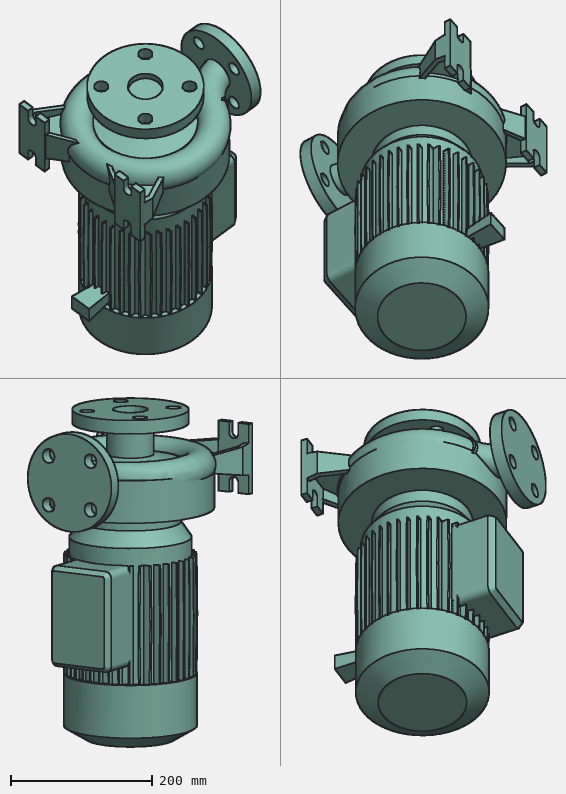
import cadquery as cq
import math


OVERALL_WIDTH = 242.0

COWL_CONE_TOP = 19.0
COWL_TOP = 95.0
FIN_TOP = 266.5
BODY_TOP = 291.0
NECK_BOTTOM = 313.5
CASING_BOTTOM = 334.0
VOLUTE_Z = 395.0
TOTAL_HEIGHT = 475.0

COWL_R = 94.5
COWL_BASE_R = 62.5
BODY_R = 87.0
NECK_R = 71.5
FIN_R = 95.0
FIN_END_R = 94.0
FIN_THICKNESS = 2.0
FIN_PITCH_R = 93.5
FIN_PITCH_ANGLE = 9.0
FINS_PER_HALF_SIDE = 5

CASING_R = 119.0
TUBE_R = 23.8
VOLUTE_R = OVERALL_WIDTH / 2 - TUBE_R
DISH_R = 74.0
DISH_EDGE_Z = 402.0
DISH_TOP_Z = 411.0
SPIRAL_R = 92.5
SPIRAL_END_X = 54.5
SPIRAL_END_TUBE_R = 19.0

PIPE_R = 33.2
SUCTION_FLANGE_R = 82.5
SUCTION_FLANGE_THICKNESS = 19.5
SUCTION_BOLT_OFFSET = 44.0
SUCTION_BORE_R = 24.5
SUCTION_BORE_DEPTH = 10.0
OUTLET_FLANGE_R = 70.5
OUTLET_FLANGE_THICKNESS = 18.5
OUTLET_FACE_Y = 160.5
OUTLET_BOLT_OFFSET = 35.0
BOLT_HOLE_R = 10.0

FOOT_FACE_Y = -131.5
FOOT_THICKNESS = 9.5
FOOT_OUTER_X = OVERALL_WIDTH / 2
FOOT_WIDTH = 51.0
FOOT_HEIGHT = 101.0
SLOT_WIDTH = 15.0
SLOT_DEPTH = 23.0
WEB_THICKNESS = 7.5
INNER_WEB_OVERLAP = 7.5
WEB_BEND_Y = -106.0
WEB_HALF_HEIGHT = 23.5
WEB_TIP_Y = -63.0
WEB_TIP_HALF_HEIGHT = 13.5
FOOT_FLOOR_THICKNESS = 7.5
OUTER_WEB_ROOT = [(96.0, -56.0), (89.5, -59.0)]
INNER_WEB_ROOT = [(26.5, -98.0), (21.5, -101.5)]

BOX_HALF_WIDTH = 50.0
BOX_BOTTOM = 121.0
BOX_FACE_Y = 137.8
BOX_CORNER_R = 10.0
BOX_BEVEL_DEPTH = 9.0
BOX_BEVEL_WIDTH = 6.0

BLOCK_FACE_Y = -130.0
BLOCK_Z = 111.5
BLOCK_WIDTH = 34.5
BLOCK_HEIGHT = 25.0
BLOCK_ROOT_Y = -82.0
BLOCK_ROOT_WIDTH = 26.5
BLOCK_ROOT_HEIGHT = 18.0


def revolved(profile):
    """Solid of revolution about Z from (radius, height) points; the axis closes the outline."""
    outline = [(0, profile[0][1])] + profile + [(0, profile[-1][1])]
    return cq.Workplane("XZ").polyline(outline).close().revolve(360, (0, 0, 0), (0, 1, 0))


def motor_and_casing():
    return revolved([
        (COWL_BASE_R, 0),
        (COWL_R, COWL_CONE_TOP),
        (COWL_R, COWL_TOP),
        (BODY_R, COWL_TOP),
        (BODY_R, BODY_TOP),
        (NECK_R, NECK_BOTTOM),
        (NECK_R, CASING_BOTTOM),
        (CASING_R, CASING_BOTTOM),
        (CASING_R, VOLUTE_Z),
        (DISH_R, VOLUTE_Z),
        (DISH_R, DISH_EDGE_Z),
        (PIPE_R, DISH_TOP_Z),
        (PIPE_R, TOTAL_HEIGHT - SUCTION_FLANGE_THICKNESS),
        (SUCTION_FLANGE_R, TOTAL_HEIGHT - SUCTION_FLANGE_THICKNESS),
        (SUCTION_FLANGE_R, TOTAL_HEIGHT),
    ])


def cooling_fins():
    """Thin fins along X and along Y, trimmed to a slightly barrelled envelope."""
    height = FIN_TOP - COWL_TOP
    mid_z = COWL_TOP + height / 2
    along_x = cq.Workplane("XY")
    along_y = cq.Workplane("XY")
    for i in range(FINS_PER_HALF_SIDE):
        offset = FIN_PITCH_R * math.sin(math.radians(FIN_PITCH_ANGLE * (i + 0.5)))
        for side in (-1, 1):
            plate = cq.Workplane("XY").box(2 * FIN_R, FIN_THICKNESS, height)
            plate = plate.translate((0, side * offset, mid_z))
            along_x = along_x.add(plate)
            along_y = along_y.add(plate.rotate((0, 0, 0), (0, 0, 1), 90))
    envelope = (
        cq.Workplane("XZ")
        .moveTo(0, COWL_TOP)
        .lineTo(FIN_END_R, COWL_TOP)
        .threePointArc((FIN_R, mid_z), (FIN_END_R, FIN_TOP))
        .lineTo(0, FIN_TOP)
        .close()
        .revolve(360, (0, 0, 0), (0, 1, 0))
    )
    return along_x.combine().union(along_y.combine()).intersect(envelope)


def tube(path, start, direction):
    """Round tube swept along a plane path that leaves start in the given direction."""
    return cq.Workplane(cq.Plane(start, (0, 0, -1), direction)).circle(TUBE_R).sweep(path)


def volute():
    """Scroll around the casing: main ring, outlet bend and the narrowing inner spiral."""
    bend_r = (OUTLET_FACE_Y**2 - VOLUTE_R**2) / (2 * VOLUTE_R)
    joint = math.acos(bend_r / (VOLUTE_R + bend_r))
    joint_point = (VOLUTE_R * math.cos(joint), VOLUTE_R * math.sin(joint))
    bend_middle = (
        bend_r - bend_r * math.cos(joint / 2),
        OUTLET_FACE_Y - bend_r * math.sin(joint / 2),
    )
    level = cq.Workplane("XY", origin=(0, 0, VOLUTE_Z))
    outlet_path = level.moveTo(0, OUTLET_FACE_Y).threePointArc(bend_middle, joint_point)
    outlet = tube(outlet_path, (0, OUTLET_FACE_Y, VOLUTE_Z), (0, -1, 0))

    ring_path = level.moveTo(-VOLUTE_R, 0).threePointArc((0, -VOLUTE_R), joint_point)
    ring = tube(ring_path, (-VOLUTE_R, 0, VOLUTE_Z), (0, -1, 0))

    spiral_path = (
        level.moveTo(-VOLUTE_R, 0)
        .radiusArc((SPIRAL_R - VOLUTE_R, SPIRAL_R), SPIRAL_R)
        .lineTo(SPIRAL_END_X, SPIRAL_R)
    )
    spiral_end = cq.Plane((SPIRAL_END_X, SPIRAL_R, VOLUTE_Z), (0, 0, -1), (1, 0, 0))
    spiral_start = cq.Plane((-VOLUTE_R, 0, VOLUTE_Z), (0, 0, -1), (0, 1, 0))
    spiral = (
        cq.Workplane(spiral_start)
        .circle(TUBE_R)
        .copyWorkplane(cq.Workplane(spiral_end))
        .circle(SPIRAL_END_TUBE_R)
        .sweep(spiral_path, multisection=True)
    )
    return ring.union(outlet).union(spiral)


def bolt_positions(offset):
    return [(x, y) for x in (-offset, offset) for y in (-offset, offset)]


def outlet_flange():
    return (
        cq.Workplane("XZ", origin=(0, OUTLET_FACE_Y, VOLUTE_Z))
        .circle(OUTLET_FLANGE_R)
        .pushPoints(bolt_positions(OUTLET_BOLT_OFFSET))
        .circle(BOLT_HOLE_R)
        .extrude(OUTLET_FLANGE_THICKNESS)
    )


def suction_openings():
    """Bolt holes through the suction flange and the shallow bore in its face."""
    top = cq.Workplane("XY", origin=(0, 0, TOTAL_HEIGHT))
    bolts = (
        top.pushPoints(bolt_positions(SUCTION_BOLT_OFFSET))
        .circle(BOLT_HOLE_R)
        .extrude(-SUCTION_FLANGE_THICKNESS)
    )
    return bolts.union(top.circle(SUCTION_BORE_R).extrude(-SUCTION_BORE_DEPTH))


def foot():
    """Slotted foot plate on the +X side with two tapering webs and a floor between them."""
    back_y = FOOT_FACE_Y + FOOT_THICKNESS
    inner_x = FOOT_OUTER_X - FOOT_WIDTH
    slot_x = FOOT_OUTER_X - FOOT_WIDTH / 2
    plate = cq.Workplane("XY").box(FOOT_WIDTH, FOOT_THICKNESS, FOOT_HEIGHT)
    plate = plate.translate((slot_x, FOOT_FACE_Y + FOOT_THICKNESS / 2, VOLUTE_Z))
    slots = (
        cq.Workplane("XZ", origin=(slot_x, back_y, VOLUTE_Z))
        .pushPoints([(0, -FOOT_HEIGHT / 2), (0, FOOT_HEIGHT / 2)])
        .slot2D(2 * SLOT_DEPTH, SLOT_WIDTH, 90)
        .extrude(FOOT_THICKNESS)
    )
    outer_web = [
        (FOOT_OUTER_X, back_y),
        (FOOT_OUTER_X, WEB_BEND_Y),
        *OUTER_WEB_ROOT,
        (FOOT_OUTER_X - WEB_THICKNESS, WEB_BEND_Y),
        (FOOT_OUTER_X - WEB_THICKNESS, back_y),
    ]
    inner_web = [
        (inner_x, back_y - INNER_WEB_OVERLAP),
        (inner_x, back_y),
        *INNER_WEB_ROOT,
    ]
    webs = cq.Workplane("XY")
    for outline in (outer_web, inner_web):
        webs = webs.add(cq.Workplane("XY").polyline(outline).close().extrude(TOTAL_HEIGHT))
    slope = (WEB_HALF_HEIGHT - WEB_TIP_HALF_HEIGHT) / (WEB_TIP_Y - back_y)
    front_half = WEB_HALF_HEIGHT + slope * FOOT_THICKNESS
    end_half = WEB_TIP_HALF_HEIGHT + slope * WEB_TIP_Y
    taper = (
        cq.Workplane("YZ")
        .polyline([
            (FOOT_FACE_Y, VOLUTE_Z - front_half),
            (0, VOLUTE_Z - end_half),
            (0, VOLUTE_Z + end_half),
            (FOOT_FACE_Y, VOLUTE_Z + front_half),
        ])
        .close()
        .extrude(FOOT_OUTER_X)
    )
    floor = (
        cq.Workplane("XY", origin=(0, 0, VOLUTE_Z - FOOT_FLOOR_THICKNESS / 2))
        .polyline([
            (FOOT_OUTER_X, back_y),
            (FOOT_OUTER_X, WEB_BEND_Y),
            OUTER_WEB_ROOT[0],
            INNER_WEB_ROOT[0],
            (inner_x, back_y),
        ])
        .close()
        .extrude(FOOT_FLOOR_THICKNESS)
    )
    return webs.combine().intersect(taper).union(floor).union(plate.cut(slots))


def terminal_box():
    """Box on the +Y side with rounded corners and a bevelled cover edge."""
    height = FIN_TOP - BOX_BOTTOM
    mid_z = BOX_BOTTOM + height / 2
    cover_y = BOX_FACE_Y - BOX_BEVEL_DEPTH
    outline = cq.Sketch().rect(2 * BOX_HALF_WIDTH, height).vertices().fillet(BOX_CORNER_R)
    box = cq.Workplane("XZ", origin=(0, 0, mid_z)).placeSketch(outline).extrude(-cover_y)
    bevel_angle = math.degrees(math.atan2(BOX_BEVEL_WIDTH, BOX_BEVEL_DEPTH))
    cover = (
        cq.Workplane("XZ", origin=(0, cover_y, mid_z))
        .placeSketch(outline)
        .extrude(-BOX_BEVEL_DEPTH, taper=bevel_angle)
    )
    return box.union(cover)


def support_block():
    """Small block on the -Y side, widening away from the motor."""
    return (
        cq.Workplane("XZ", origin=(0, BLOCK_FACE_Y, BLOCK_Z))
        .rect(BLOCK_WIDTH, BLOCK_HEIGHT)
        .workplane(offset=BLOCK_FACE_Y - BLOCK_ROOT_Y)
        .rect(BLOCK_ROOT_WIDTH, BLOCK_ROOT_HEIGHT)
        .loft()
    )


right_foot = foot()
left_foot = right_foot.mirror("YZ")

result = motor_and_casing()
for feature in (
    cooling_fins(),
    volute(),
    outlet_flange(),
    right_foot,
    left_foot,
    terminal_box(),
    support_block(),
):
    result = result.union(feature)
result = result.cut(suction_openings())